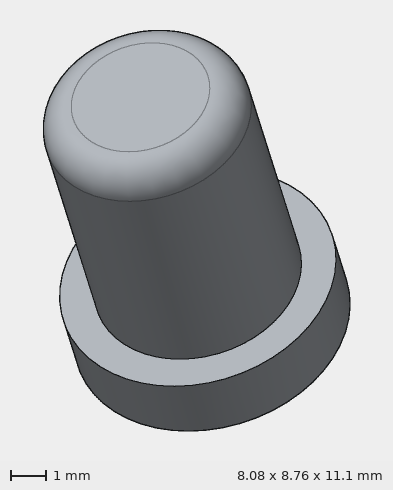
import cadquery as cq

flange_diameter = 8.0
flange_thickness = 1.99
pin_diameter = 6.0
pin_length = 8.0
end_radius = 1.0

lean_toward_minus_y = 12.2
lean_toward_minus_x = 2.6


def upright_pin():
    """Build the flanged pin standing along Z, with its flange underside at Z = 0."""
    flange = cq.Workplane("XY").circle(flange_diameter / 2).extrude(flange_thickness)
    pin = (
        cq.Workplane("XY")
        .workplane(offset=flange_thickness)
        .circle(pin_diameter / 2)
        .extrude(pin_length)
        .faces(">Z")
        .edges()
        .fillet(end_radius)
    )
    return flange.union(pin)


origin = (0, 0, 0)
result = (
    upright_pin()
    .rotate(origin, (1, 0, 0), lean_toward_minus_y)
    .rotate(origin, (0, 1, 0), -lean_toward_minus_x)
)